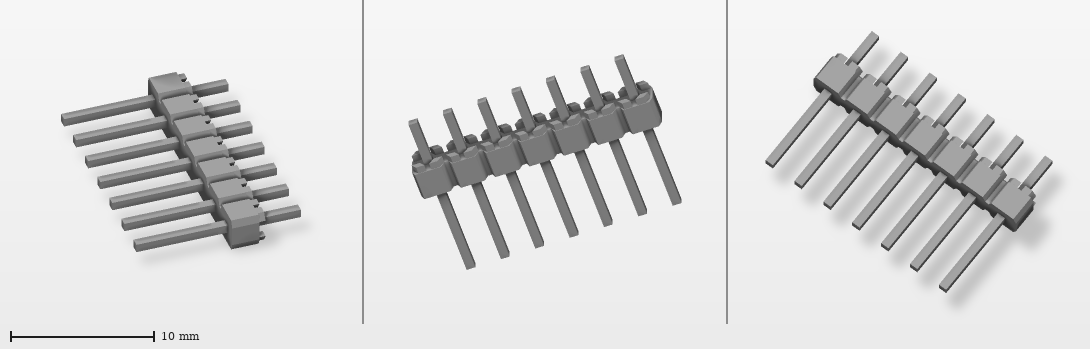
import cadquery as cq

pin_count = 7
pitch = 2.54
body_length = pin_count * pitch
body_height = 2.54
body_depth = 2.03

pin_side = 0.64
pin_length = 12.15
pin_front_reach = 6.74

bevel_width = 0.23
bevel_height = 0.54
notch_floor_width = 0.31

foot_span = 2.24
foot_gap = 0.36
foot_inset = 0.06
foot_height = 0.54
foot_lean = 0.33
foot_depth = 0.49

half_height = body_height / 2
front_y = -pin_length / 2 + pin_front_reach
rear_y = front_y + body_depth
pin_positions = [(i - (pin_count - 1) / 2) * pitch for i in range(pin_count)]
notch_positions = [x + pitch / 2 for x in pin_positions[:-1]]


def prism(points, start_y, depth):
    """Extrude an XZ outline from start_y towards +Y."""
    plane = cq.Workplane("XZ", origin=(0, start_y, 0))
    return plane.polyline(points).close().extrude(-depth)


def make_body():
    half_length = body_length / 2
    shoulder_z = half_height - bevel_height
    top = [
        (-half_length, shoulder_z),
        (-half_length + bevel_width, half_height),
    ]
    half_floor = notch_floor_width / 2
    half_mouth = half_floor + bevel_width
    for x in notch_positions:
        top += [
            (x - half_mouth, half_height),
            (x - half_floor, shoulder_z),
            (x + half_floor, shoulder_z),
            (x + half_mouth, half_height),
        ]
    top += [
        (half_length - bevel_width, half_height),
        (half_length, shoulder_z),
    ]
    bottom = [(x, -z) for x, z in reversed(top)]
    return prism(top + bottom, front_y, body_depth)


def make_foot(pin_x, side_x, side_z):
    """Foot slanted outwards towards mid-height; the signs side_x and side_z pick its quadrant."""
    outer_z = half_height - foot_inset
    inner_z = outer_z - foot_height
    quadrant = [
        (foot_gap / 2, outer_z),
        (foot_span / 2 - foot_lean, outer_z),
        (foot_span / 2, inner_z),
        (foot_gap / 2 + foot_lean, inner_z),
    ]
    points = [(pin_x + side_x * x, side_z * z) for x, z in quadrant]
    return prism(points, rear_y, foot_depth)


def make_pin(pin_x):
    return cq.Workplane("XY").box(pin_side, pin_length, pin_side).translate((pin_x, 0, 0))


result = make_body()
for pin_x in pin_positions:
    result = result.union(make_pin(pin_x))
    for side_x in (-1, 1):
        for side_z in (-1, 1):
            result = result.union(make_foot(pin_x, side_x, side_z))